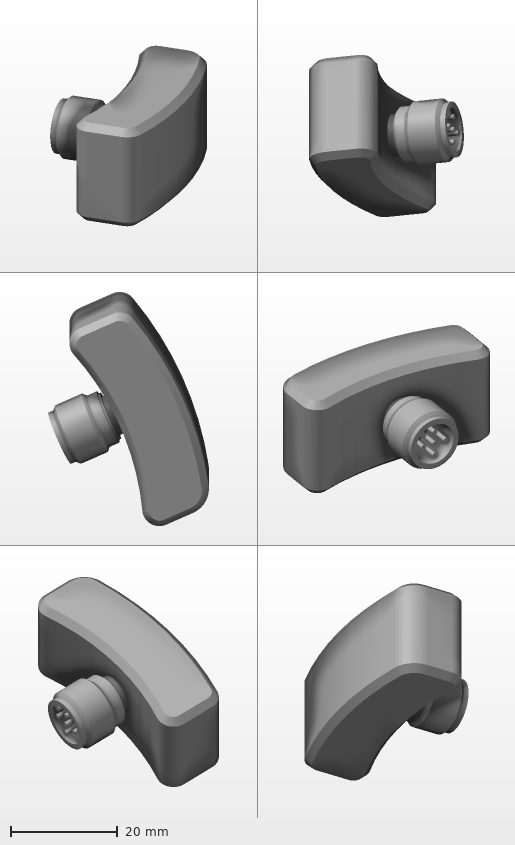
import cadquery as cq
import math


height = 20.1
length = 41.15
long_end = 21.6
short_end = long_end - length
back_x = 25.05
front_x = 12.1
back_radius = 66.65
arc_center_x = back_x - back_radius
front_radius = front_x - arc_center_x
corner_radius = 3.2
large_corner_radius = 5.05
edge_chamfer = 1.3

mouth_radius = 10.55 / 2
grip_radius = 12.0 / 2
collar_radius = 9.5 / 2
neck_radius = 8.0 / 2
grip_bevel = grip_radius - mouth_radius
grip_start = 1.03
grip_end = 8.0
shoulder_end = 10.0
collar_end = 10.5
neck_end = front_x + 0.82

socket_radius = 8.3 / 2
socket_depth = 8.25
pin_diameter = 1.0
pin_spacing = 2.45
key_radius = 0.58
key_center = 2.45
key_angle = 45.0


def arc_x(radius, y):
    """X of a housing arc at the given Y."""
    return arc_center_x + math.sqrt(radius**2 - y**2)


def make_housing():
    front_long = (arc_x(front_radius, long_end), long_end)
    back_long = (arc_x(back_radius, long_end), long_end)
    front_short = (arc_x(front_radius, short_end), short_end)
    back_short = (arc_x(back_radius, short_end), short_end)
    block = (
        cq.Workplane("XY")
        .workplane(offset=-height / 2)
        .moveTo(*front_long)
        .lineTo(*back_long)
        .threePointArc((back_x, 0), back_short)
        .lineTo(*front_short)
        .threePointArc((front_x, 0), front_long)
        .close()
        .extrude(height)
    )
    corners = [
        (back_long, large_corner_radius),
        (back_short, corner_radius),
        (front_long, corner_radius),
        (front_short, corner_radius),
    ]
    for corner, radius in corners:
        nearest = cq.selectors.NearestToPointSelector((*corner, 0))
        block = block.edges("|Z").edges(nearest).fillet(radius)
    return block.faces("<Z or >Z").edges().chamfer(edge_chamfer)


def make_plug():
    profile = [
        (0, 0),
        (0, mouth_radius),
        (grip_start, mouth_radius),
        (grip_start + grip_bevel, grip_radius),
        (grip_end - grip_bevel, grip_radius),
        (grip_end, mouth_radius),
        (shoulder_end, mouth_radius),
        (shoulder_end, collar_radius),
        (collar_end, collar_radius),
        (collar_end, neck_radius),
        (neck_end, neck_radius),
        (neck_end, 0),
    ]
    return cq.Workplane("XY").polyline(profile).close().revolve(360, (0, 0), (1, 0))


def make_socket():
    """Hollow of the plug, leaving the pins and the key standing."""
    mouth = cq.Workplane("YZ")
    bore = mouth.circle(socket_radius).extrude(socket_depth)
    pin_places = [
        (0, 0),
        (pin_spacing, 0),
        (-pin_spacing, 0),
        (0, pin_spacing),
        (0, -pin_spacing),
    ]
    pins = mouth.pushPoints(pin_places).circle(pin_diameter / 2).extrude(socket_depth)
    key_reach = socket_radius - math.hypot(key_center, key_center) + key_radius
    slot_middle = key_center + key_reach / 2 * math.cos(math.radians(key_angle))
    key = (
        mouth.center(slot_middle, slot_middle)
        .slot2D(key_reach + 2 * key_radius, 2 * key_radius, key_angle)
        .extrude(socket_depth)
    )
    return bore.cut(pins).cut(key)


result = make_housing().union(make_plug()).cut(make_socket())